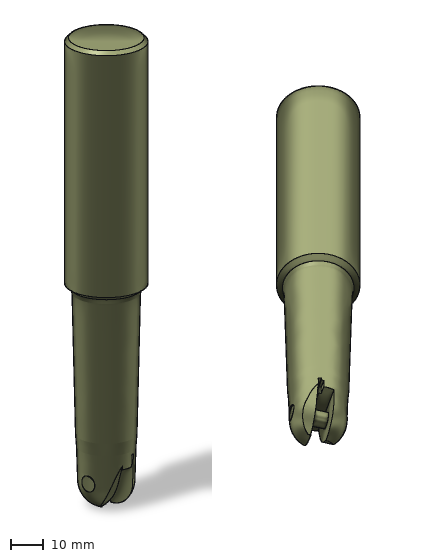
import cadquery as cq
import math

LENGTH = 151.3
SHANK_RADIUS = 12.7
SHANK_BOTTOM = 71.7
TOP_CHAMFER = 1.2
SHOULDER_RADIUS = 10.9
SHOULDER_BOTTOM = 70.4
NECK_TOP_RADIUS = 10.5
NECK_TOP = 68.7
NECK_BOTTOM_RADIUS = 9.4
NECK_BOTTOM = 23.0
HEAD_TOP_RADIUS = 9.1
HEAD_TOP = 18.9

SLOT_WIDTH = 5.0
SLOT_TOP = 13.9
HALF_SLOT = SLOT_WIDTH / 2
NOSE_START = 9.0
HEAD_BOTTOM_RADIUS = 8.8
NOSE_CENTRE = (HEAD_BOTTOM_RADIUS**2 + NOSE_START**2 - HALF_SLOT**2) / (2 * NOSE_START)
NOSE_RADIUS = math.hypot(NOSE_CENTRE, HALF_SLOT)

SLIT_WIDTH = 0.9
SLIT_TOP = 17.7
SLIT_MOUTH_WIDTH = 1.7
SLIT_MOUTH_TOP = 16.8
SLIT_MOUTH_DEPTH = 3.0

CHIP_LEAN = 16.0
CHIP_BEND_X = 6.8
CHIP_TIP_X = 0.5
CHIP_TIP_Z = 0.3
CUTTER_SIZE = 45.4

PIN_RADIUS = 2.5
PIN_HEIGHT = 9.1
PIN_LENGTH = 17.0


def make_blank():
    """Turned shank, tapered neck and ball nose."""
    rim_angle = math.atan2(NOSE_CENTRE - NOSE_START, HEAD_BOTTOM_RADIUS)
    middle_angle = (rim_angle + math.pi / 2) / 2
    arc_middle = (
        NOSE_RADIUS * math.cos(middle_angle),
        NOSE_CENTRE - NOSE_RADIUS * math.sin(middle_angle),
    )
    profile = (
        cq.Workplane("XZ")
        .moveTo(0, LENGTH)
        .lineTo(SHANK_RADIUS - TOP_CHAMFER, LENGTH)
        .lineTo(SHANK_RADIUS, LENGTH - TOP_CHAMFER)
        .lineTo(SHANK_RADIUS, SHANK_BOTTOM)
        .lineTo(SHOULDER_RADIUS, SHOULDER_BOTTOM)
        .lineTo(NECK_TOP_RADIUS, NECK_TOP)
        .lineTo(NECK_BOTTOM_RADIUS, NECK_BOTTOM)
        .lineTo(HEAD_TOP_RADIUS, HEAD_TOP)
        .lineTo(HEAD_BOTTOM_RADIUS, NOSE_START)
        .threePointArc(arc_middle, (0, NOSE_CENTRE - NOSE_RADIUS))
        .close()
    )
    return profile.revolve(360, (0, 0, 0), (0, 1, 0))


def make_insert_slot():
    """Slot through the head along X, with the relief slit and its wider -X mouth in the roof."""
    depth_below = NOSE_RADIUS

    def cutter(width, top):
        """Through-cut along X whose +Y wall is the +Y wall of the slot."""
        block = cq.Workplane("XY").box(
            CUTTER_SIZE, width, top + depth_below, centered=(True, False, False)
        )
        return block.translate((0, HALF_SLOT - width, -depth_below))

    slot = cutter(SLOT_WIDTH, SLOT_TOP)
    slit = cutter(SLIT_WIDTH, SLIT_TOP)
    mouth_end = SLIT_MOUTH_DEPTH - HEAD_TOP_RADIUS
    mouth = cutter(SLIT_MOUTH_WIDTH, SLIT_MOUTH_TOP).translate((mouth_end - CUTTER_SIZE / 2, 0, 0))
    return slot.union(slit).union(mouth)


def make_chip_cutter():
    """Clearance for the +X side of the -Y prong, constant along Y."""
    lean = math.radians(CHIP_LEAN)
    flat_top_z = SLOT_TOP + HEAD_TOP_RADIUS
    flat_top_x = CHIP_BEND_X + (flat_top_z - NOSE_START) * math.tan(lean)
    cutter_bottom = -NOSE_RADIUS
    return (
        cq.Workplane("XZ", origin=(0, -HALF_SLOT, 0))
        .moveTo(flat_top_x, flat_top_z)
        .lineTo(CHIP_BEND_X, NOSE_START)
        .tangentArcPoint((CHIP_TIP_X, CHIP_TIP_Z), relative=False)
        .lineTo(CHIP_TIP_X, cutter_bottom)
        .lineTo(CUTTER_SIZE, cutter_bottom)
        .lineTo(CUTTER_SIZE, flat_top_z)
        .close()
        .extrude(CUTTER_SIZE)
    )


def make_pin(length):
    """Plain cylinder along Y, centred on the shank axis."""
    return (
        cq.Workplane("XZ", origin=(0, length / 2, PIN_HEIGHT))
        .circle(PIN_RADIUS)
        .extrude(length)
    )


def make_holder():
    """Shank with the insert slot, both chip clearances and the pin hole."""
    holder = make_blank().cut(make_insert_slot())
    chip_cutter = make_chip_cutter()
    for turn in (0, 180):
        holder = holder.cut(chip_cutter.rotate((0, 0, 0), (0, 0, 1), turn))
    return holder.cut(make_pin(CUTTER_SIZE))


holder = make_holder()
pin = make_pin(PIN_LENGTH)
result = cq.Compound.makeCompound([holder.val(), pin.val()])